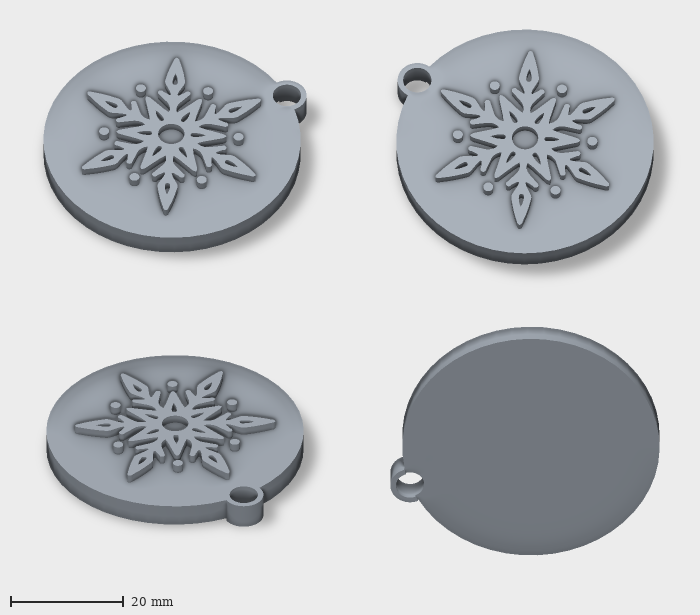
import cadquery as cq
import math

disc_thickness = 4.0
relief_height = 1.55
ring_drop = 0.5

disc_diameter = 45.75
ring_outer_diameter = 7.0
ring_hole_diameter = 5.0
ring_center_y = disc_diameter / 2

snowflake_center = (-0.1, -0.1)
arm_count = 6
arm_angle = 360 / arm_count
center_hole_diameter = 4.7
dot_diameter = 1.75
dot_radius = 11.95

leaf_tip = 17.85
spike_tip = 9.8
leaf_eye = {"inner": 11.5, "outer": 14.1}
spike_eye = {"inner": 3.45, "outer": 6.15}
eye_half_width = 0.45
eye_shoulder_half_width = 0.37


def make_disc():
    return cq.Workplane("XY").circle(disc_diameter / 2).extrude(disc_thickness)


def make_ring():
    """Ring flush with the disc top, ending at the disc's rim."""
    ring = (
        cq.Workplane("XY", origin=(0, ring_center_y, -ring_drop))
        .circle(ring_outer_diameter / 2)
        .extrude(disc_thickness + ring_drop)
    )
    rim = (
        cq.Workplane("XY", origin=(0, 0, -ring_drop))
        .circle(disc_diameter / 2)
        .extrude(disc_thickness + ring_drop)
    )
    return ring.cut(rim)


def make_ring_hole():
    return (
        cq.Workplane("XY", origin=(0, ring_center_y, -ring_drop))
        .circle(ring_hole_diameter / 2)
        .extrude(disc_thickness + ring_drop)
    )


def make_half_arm():
    """Half of the arm along +Y, from its axis to the axis of the next short spike."""
    spike_angle = math.radians(arm_angle / 2)
    spike_end = (spike_tip * math.sin(spike_angle), spike_tip * math.cos(spike_angle))
    return (
        cq.Workplane("XY")
        .lineTo(0, leaf_tip)
        .threePointArc((0.3, 17.65), (0.5, 17.2))
        .threePointArc((1.25, 14.9), (1.7, 12.6))
        .threePointArc((1.75, 12.1), (1.6, 11.45))
        .lineTo(0.85, 10.0)
        .lineTo(0.6, 9.3)
        .threePointArc((0.7, 9.05), (0.95, 9.1))
        .lineTo(1.9, 9.75)
        .threePointArc((2.8, 9.85), (2.65, 9.1))
        .lineTo(1.1, 7.3)
        .threePointArc((0.7, 6.5), (0.6, 5.6))
        .lineTo(0.75, 5.05)
        .lineTo(1.7, 5.85)
        .lineTo(4.05, 8.1)
        .threePointArc((4.45, 8.35), spike_end)
        .close()
        .extrude(relief_height)
    )


def make_eye(eye):
    """Teardrop opening on +Y, rounded toward the center and pointed outward."""
    round_center = eye["inner"] + eye_half_width
    shoulder = (round_center + eye["outer"]) / 2
    return (
        cq.Workplane("XY")
        .moveTo(0, eye["outer"])
        .threePointArc((eye_shoulder_half_width, shoulder), (eye_half_width, round_center))
        .threePointArc((0, eye["inner"]), (-eye_half_width, round_center))
        .threePointArc((-eye_shoulder_half_width, shoulder), (0, eye["outer"]))
        .close()
        .extrude(relief_height)
    )


def turned(shape, angle):
    return shape.rotate((0, 0, 0), (0, 0, 1), angle)


def make_snowflake():
    half_arm = make_half_arm()
    arm = half_arm.union(half_arm.mirror("YZ"))
    arm = arm.cut(make_eye(leaf_eye))
    snowflake = arm
    for i in range(1, arm_count):
        snowflake = snowflake.union(turned(arm, i * arm_angle))
    for i in range(arm_count):
        snowflake = snowflake.cut(turned(make_eye(spike_eye), (i + 0.5) * arm_angle))
    center_hole = cq.Workplane("XY").circle(center_hole_diameter / 2).extrude(relief_height)
    return snowflake.cut(center_hole)


def make_dots():
    """One round pin beyond the tip of each short spike."""
    return (
        cq.Workplane("XY")
        .polarArray(dot_radius, 0, 360, arm_count)
        .circle(dot_diameter / 2)
        .extrude(relief_height)
    )


relief_position = (*snowflake_center, disc_thickness)
result = (
    make_disc()
    .union(make_ring())
    .cut(make_ring_hole())
    .union(make_snowflake().translate(relief_position))
    .union(make_dots().translate(relief_position))
)